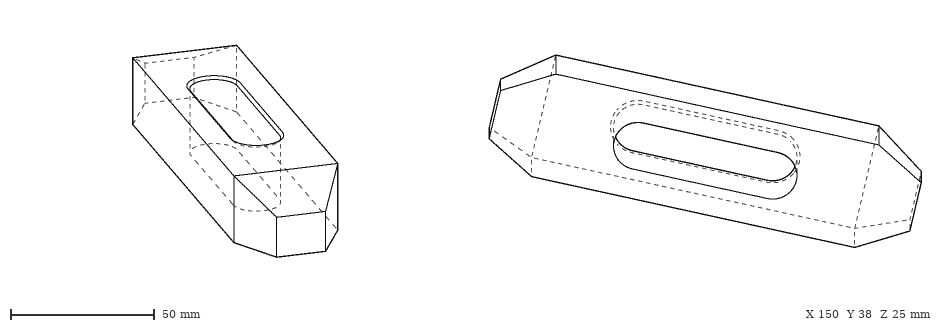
import cadquery as cq
import math

length = 150.0
width = 38.0
height = 25.0

taper_angle = math.radians(30)
nose_height = 15.0
taper_drop = height - nose_height
taper_length = taper_drop / math.tan(taper_angle)
nose_width = width - 2 * taper_drop

slot_length = 65.0
slot_width = 17.0
slot_chamfer = 1.0


def closed_outline(plane, points):
    """Close an outline on the given plane."""
    return cq.Workplane(plane).polyline(points).close()


def tapered_block():
    """Intersect the side profile with the plan profile."""
    end = length / 2
    shoulder = end - taper_length
    side_profile = closed_outline("XZ", [
        (-end, 0),
        (end, 0),
        (end, nose_height),
        (shoulder, height),
        (-shoulder, height),
        (-end, nose_height),
    ])
    plan_profile = closed_outline("XY", [
        (-end, -nose_width / 2),
        (-shoulder, -width / 2),
        (shoulder, -width / 2),
        (end, -nose_width / 2),
        (end, nose_width / 2),
        (shoulder, width / 2),
        (-shoulder, width / 2),
        (-end, nose_width / 2),
    ])
    side_body = side_profile.extrude(width / 2, both=True)
    plan_body = plan_profile.extrude(height)
    return side_body.intersect(plan_body)


def cut_slot(body):
    """Cut the slot through the block and chamfer its top rim."""
    slot = cq.Workplane("XY").slot2D(slot_length, slot_width).extrude(height)
    rim_length = slot_length + 2 * slot_chamfer
    rim_width = slot_width + 2 * slot_chamfer
    rim = (
        cq.Workplane("XY", origin=(0, 0, height))
        .slot2D(rim_length, rim_width)
        .extrude(-slot_chamfer, taper=45)
    )
    return body.cut(slot).cut(rim)


result = cut_slot(tapered_block())